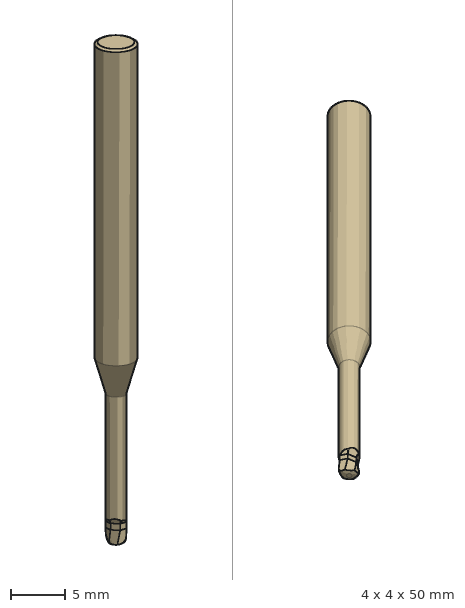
import cadquery as cq
import math

TOTAL_LENGTH = 50.0
JOINT_Z = 1.55
FLUTE_RUNOUT_Z = 2.2
CONE_BOTTOM_Z = 15.0
CONE_TOP_Z = 18.55

SHANK_RADIUS = 2.0
NECK_DIAMETER = 1.95
NECK_RADIUS = NECK_DIAMETER / 2
TOP_CHAMFER_WIDTH = 0.3
TOP_CHAMFER_HEIGHT = 0.2

CUTTER_RADIUS = 1.0
NOSE_RADIUS = 0.75
WEB_HALF_THICKNESS = 0.55
WEB_HALF_FLAT = 0.45
TIP_ANGLE = 26.0
JOINT_ANGLE = 51.0
RUNOUT_ANGLE = 34.0


def web_section(angle, height):
    """Six-sided two-flute section with its cutting edges turned to the angle."""
    corners = [
        (CUTTER_RADIUS, 0),
        (WEB_HALF_FLAT, WEB_HALF_THICKNESS),
        (-WEB_HALF_FLAT, WEB_HALF_THICKNESS),
        (-CUTTER_RADIUS, 0),
        (-WEB_HALF_FLAT, -WEB_HALF_THICKNESS),
        (WEB_HALF_FLAT, -WEB_HALF_THICKNESS),
    ]
    plane = cq.Workplane("XY", origin=(0, 0, height))
    return plane.transformed(rotate=(0, 0, angle)).polyline(corners).close()


def make_shank():
    """Round shank, cone and neck, with the ends of the two flutes in the neck."""
    upper = (
        cq.Workplane("XZ")
        .moveTo(0, FLUTE_RUNOUT_Z)
        .lineTo(NECK_RADIUS, FLUTE_RUNOUT_Z)
        .lineTo(NECK_RADIUS, CONE_BOTTOM_Z)
        .lineTo(SHANK_RADIUS, CONE_TOP_Z)
        .lineTo(SHANK_RADIUS, TOTAL_LENGTH - TOP_CHAMFER_HEIGHT)
        .lineTo(SHANK_RADIUS - TOP_CHAMFER_WIDTH, TOTAL_LENGTH)
        .lineTo(0, TOTAL_LENGTH)
        .close()
        .revolve(360, (0, 0), (0, 1))
    )
    runout_height = (NECK_RADIUS - WEB_HALF_THICKNESS) / math.tan(math.radians(RUNOUT_ANGLE))
    runout = web_section(JOINT_ANGLE, FLUTE_RUNOUT_Z).extrude(runout_height, taper=-RUNOUT_ANGLE)
    runout_zone = (
        cq.Workplane("XY", origin=(0, 0, FLUTE_RUNOUT_Z)).circle(NECK_RADIUS).extrude(runout_height)
    )
    fluted_length = FLUTE_RUNOUT_Z - JOINT_Z
    neck_end = cq.Workplane("XY", origin=(0, 0, JOINT_Z)).circle(NECK_RADIUS).extrude(fluted_length)
    fluted_neck = web_section(JOINT_ANGLE, JOINT_Z).extrude(fluted_length).intersect(neck_end)
    return upper.cut(runout_zone.cut(runout)).union(fluted_neck)


def make_cutting_tip():
    """Twisted two-flute cutter with a rounded nose."""
    twisted_web = web_section(TIP_ANGLE, 0).twistExtrude(JOINT_Z, JOINT_ANGLE - TIP_ANGLE)
    nose = (
        cq.Workplane("XY").circle(CUTTER_RADIUS).extrude(JOINT_Z).faces("<Z").edges().fillet(NOSE_RADIUS)
    )
    return twisted_web.intersect(nose)


shank = make_shank()
cutting_tip = make_cutting_tip()

result = cq.Compound.makeCompound([shank.val(), cutting_tip.val()])